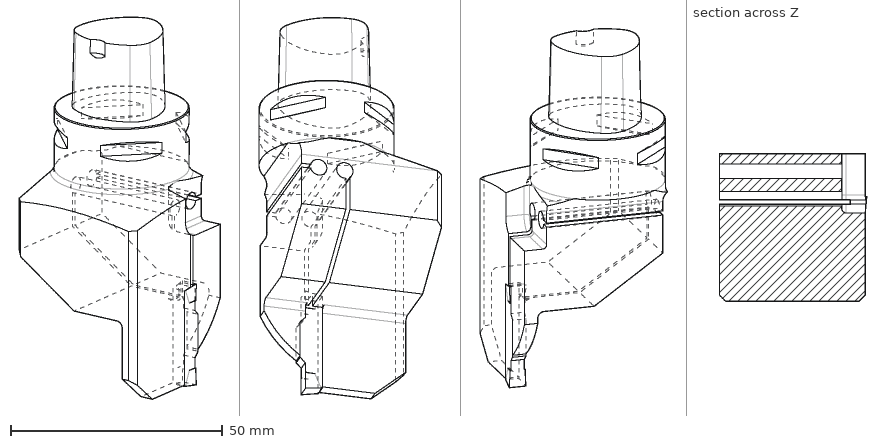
import cadquery as cq
import math


shank_height = 19.0
shank_taper = math.degrees(math.atan(1 / 40))
lobe_reach = 11.8
flat_reach = 10.25
lobe_radius = 5.9

notch_radius = 2.85
notch_axis_y = -11.5
notch_depth = 3.4
notch_point_angle = 118

flange_radius = 32.0 / 2
flange_height = 15.1
flange_chamfer = 0.25
slot_count = 4
slot_z = -5.9
slot_floor_distance = 14.2
slot_floor_height = 2.7
slot_mouth_height = 4.7

cone_angle = math.radians(15)
cone_fillet = 1.2

body_left = -12.9
body_right = 21.6
body_front = flange_radius - 41.0
body_back = 10.0
corner_chamfer = 1.5
flare_radius = 4.2
flare_start_z = -19.0
left_bottom_z = -31.8
body_bottom_z = -43.35
slope_end_x = 4.2
blade_thickness = 3.4
blade_root_fillet = 1.5
blade_back_z = -46.1
blade_bottom_z = -64.0
blade_toe_z = -57.5
blade_toe_y = -17.4
blade_relief_mid = (4.7, -53.5)
blade_relief_end = (1.1, -56.5)

pocket_x = 16.05
pocket_y = -4.0
pocket_floor_z = -27.7
pocket_wall_fillet = 1.0
pocket_end_fillet = 4.2

hole_radius = 2.0
hole_z = -21.8
outer_hole_y = 5.8
inner_hole_y = -0.7
slit_width = 1.0
slit_y = -1.4

tip_z = shank_height - 84
insert_half_length = 12.6
insert_mid_z = tip_z + insert_half_length
insert_top_y = -0.2
insert_depth = 4.2
insert_end_rise = 0.7
bulge_height = 1.3
bulge_half_length = 4.6
head_length = 4.2
head_inner_depth = 2.35
head_inner_overhang = 0.4
head_tip_overhang = 0.75

blade_left = body_right - blade_thickness
blade_center_x = body_right - blade_thickness / 2
flare_rise = -flange_height - flare_start_z
flare_reach = flare_radius - math.sqrt(flare_radius**2 - flare_rise**2)
flare_mid_rise = flare_rise / 2
flare_mid_reach = flare_radius - math.sqrt(flare_radius**2 - flare_mid_rise**2)
insert_back_y = insert_top_y - insert_depth
clear = 50.4


def polar(radius, degrees):
    angle = math.radians(degrees)
    return (radius * math.cos(angle), radius * math.sin(angle))


def make_shank():
    lobe_center = lobe_reach - lobe_radius
    reach_gap = flat_reach - lobe_radius
    flat_center = (lobe_center**2 - reach_gap**2) / (2 * reach_gap - lobe_center)
    half_pitch = 60
    half_angle = math.radians(half_pitch)
    joint_direction = math.atan2(
        flat_center * math.sin(half_angle), lobe_center + flat_center * math.cos(half_angle)
    )
    joint_along = lobe_center + lobe_radius * math.cos(joint_direction)
    joint_across = lobe_radius * math.sin(joint_direction)
    joint_radius = math.hypot(joint_along, joint_across)
    joint_angle = math.degrees(math.atan2(joint_across, joint_along))

    lobe_angles = (90, 210, 330)
    pitch = 2 * half_pitch
    outline = cq.Workplane("XY").moveTo(*polar(joint_radius, lobe_angles[0] - joint_angle))
    for angle in lobe_angles:
        outline = outline.threePointArc(polar(lobe_reach, angle), polar(joint_radius, angle + joint_angle))
        outline = outline.threePointArc(
            polar(flat_reach, angle + half_pitch), polar(joint_radius, angle + pitch - joint_angle)
        )
    shank = outline.close().extrude(shank_height, taper=shank_taper)
    return shank.cut(make_notch())


def make_notch():
    shoulder_z = shank_height - notch_depth
    point_depth = notch_radius / math.tan(math.radians(notch_point_angle / 2))
    profile = (
        cq.Workplane("XZ")
        .moveTo(0, shank_height)
        .lineTo(notch_radius, shank_height)
        .lineTo(notch_radius, shoulder_z)
        .lineTo(0, shoulder_z - point_depth)
        .close()
    )
    return profile.revolve(360, (0, 0, 0), (0, 1, 0)).translate((0, notch_axis_y, 0))


def make_flange():
    flange = cq.Workplane("XY").circle(flange_radius).extrude(-flange_height)
    flange = flange.faces(">Z").chamfer(flange_chamfer)
    floor_half = slot_floor_height / 2
    mouth_half = slot_mouth_height / 2
    slot = (
        cq.Workplane("XZ")
        .moveTo(slot_floor_distance, slot_z - floor_half)
        .lineTo(flange_radius, slot_z - mouth_half)
        .lineTo(flange_radius, slot_z + mouth_half)
        .lineTo(slot_floor_distance, slot_z + floor_half)
        .close()
        .extrude(clear, both=True)
    )
    pitch = 360 / slot_count
    for index in range(slot_count):
        flange = flange.cut(slot.rotate((0, 0, 0), (0, 0, 1), pitch * (index + 0.5)))
    return flange


def make_shoulder_envelope():
    fillet_center_r = flange_radius + cone_fillet
    fillet_center_z = -flange_height
    mid_angle = (math.pi / 2 - cone_angle) / 2

    def fillet_point(angle):
        return (
            fillet_center_r - cone_fillet * math.cos(angle),
            fillet_center_z - cone_fillet * math.sin(angle),
        )

    cone_start = fillet_point(2 * mid_angle)
    cone_end_z = cone_start[1] - (clear - cone_start[0]) * math.tan(cone_angle)
    profile = (
        cq.Workplane("XZ")
        .moveTo(0, -flange_height)
        .lineTo(flange_radius, -flange_height)
        .threePointArc(fillet_point(mid_angle), cone_start)
        .lineTo(clear, cone_end_z)
        .lineTo(clear, tip_z)
        .lineTo(0, tip_z)
        .close()
    )
    return profile.revolve(360, (0, 0, 0), (0, 1, 0))


def make_front_form():
    form = (
        cq.Workplane("XZ", origin=(0, body_front, 0))
        .moveTo(body_left - flare_reach, -flange_height)
        .threePointArc(
            (body_left - flare_mid_reach, flare_start_z + flare_mid_rise), (body_left, flare_start_z)
        )
        .lineTo(body_left, left_bottom_z)
        .lineTo(slope_end_x, body_bottom_z)
        .lineTo(blade_left - blade_root_fillet, body_bottom_z)
        .radiusArc((blade_left, body_bottom_z - blade_root_fillet), blade_root_fillet)
        .lineTo(blade_left, blade_bottom_z)
        .lineTo(body_right, blade_bottom_z)
        .lineTo(body_right, -flange_height)
        .close()
        .extrude(-clear)
    )
    front_corners = form.edges("|Z").edges("<Y").edges("<X or >X")
    return front_corners.chamfer(corner_chamfer)


def make_side_form():
    return (
        cq.Workplane("YZ")
        .moveTo(body_front, -flange_height)
        .lineTo(body_front, blade_toe_z)
        .lineTo(blade_toe_y, blade_bottom_z)
        .lineTo(insert_back_y, blade_bottom_z)
        .lineTo(*blade_relief_end)
        .threePointArc(blade_relief_mid, (body_back, blade_back_z))
        .lineTo(body_back, flare_start_z)
        .threePointArc(
            (body_back + flare_mid_reach, flare_start_z + flare_mid_rise),
            (body_back + flare_reach, -flange_height),
        )
        .close()
        .extrude(clear, both=True)
    )


def make_pocket():
    pocket = cq.Workplane("XY").box(clear, clear, clear, centered=False)
    pocket = pocket.edges("|X").edges("<Z").edges("<Y").fillet(pocket_end_fillet)
    pocket = pocket.faces("<X").edges("<Z").fillet(pocket_wall_fillet)
    return pocket.translate((pocket_x, pocket_y, pocket_floor_z))


def make_jaw_cuts():
    holes = (
        cq.Workplane("YZ")
        .pushPoints([(outer_hole_y, hole_z), (inner_hole_y, hole_z)])
        .circle(hole_radius)
        .extrude(clear, both=True)
    )
    slit_bottom = insert_mid_z
    vertical_slit = cq.Workplane("XY").box(2 * clear, slit_width, hole_z - slit_bottom)
    vertical_slit = vertical_slit.translate((0, slit_y, (hole_z + slit_bottom) / 2))
    back_slit_length = body_back - outer_hole_y
    back_slit = cq.Workplane("XY").box(2 * clear, back_slit_length, slit_width)
    back_slit = back_slit.translate((0, outer_hole_y + back_slit_length / 2, hole_z))
    return holes.union(vertical_slit).union(back_slit)


def make_insert_outline(width):
    ridge_y = insert_top_y + bulge_height
    ridge_foot = bulge_half_length + bulge_height
    end = insert_half_length
    back_end = end - insert_end_rise
    outline = [
        (insert_back_y, -back_end),
        (insert_top_y, -end),
        (insert_top_y, -ridge_foot),
        (ridge_y, -bulge_half_length),
        (ridge_y, bulge_half_length),
        (insert_top_y, ridge_foot),
        (insert_top_y, end),
        (insert_back_y, back_end),
    ]
    return cq.Workplane("YZ").polyline(outline).close().extrude(width / 2, both=True)


def make_cutting_head():
    flush = blade_thickness / 2

    def section(overhang, depth):
        wide = flush + overhang / 2
        back_y = insert_top_y - depth
        return [(-wide, insert_top_y), (wide, insert_top_y), (flush, back_y), (-flush, back_y)]

    return (
        cq.Workplane("XY", origin=(0, 0, -insert_half_length))
        .polyline(section(head_tip_overhang, insert_depth))
        .close()
        .workplane(offset=head_length)
        .polyline(section(head_inner_overhang, head_inner_depth))
        .close()
        .loft(ruled=True)
    )


def make_insert():
    lower_head = make_cutting_head()
    heads = lower_head.union(lower_head.mirror("XY"))
    head_width = blade_thickness + head_tip_overhang
    heads = heads.intersect(make_insert_outline(head_width))
    bar = make_insert_outline(blade_thickness)
    return bar.union(heads).translate((blade_center_x, 0, insert_mid_z))


def make_seat_relief():
    relief = cq.Workplane("XY").box(blade_root_fillet, insert_depth, blade_root_fillet, centered=False)
    relief_left = blade_left - blade_root_fillet
    relief_bottom = body_bottom_z - blade_root_fillet
    return relief.translate((relief_left, insert_back_y, relief_bottom))


def make_holder(insert):
    body = make_front_form().intersect(make_side_form()).intersect(make_shoulder_envelope())
    body = body.cut(make_pocket()).cut(make_jaw_cuts())
    body = body.cut(make_seat_relief()).cut(insert)
    return body.union(make_flange()).union(make_shank())


cutting_insert = make_insert()
holder = make_holder(cutting_insert)
result = cq.Compound.makeCompound([holder.val(), cutting_insert.val()])